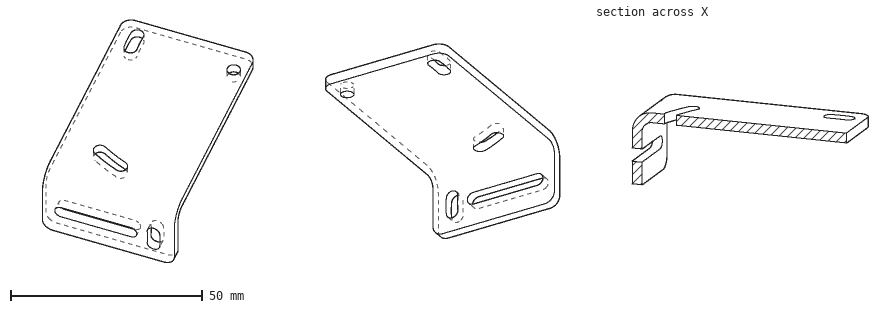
import cadquery as cq
import math

width = 37.0
depth = 60.0
height = 20.0

thickness = 2.8
inner_bend_radius = 2.8
outer_bend_radius = inner_bend_radius + thickness
corner_radius = 3.0

clearance = 3.5
swing_half_angle = 5.0

pivot_x = 14.8
pivot_y = depth - 7.0
near_slot_radius = 28.1
near_slot_angle = 180.0
far_slot_radius = 45.0
far_slot_angle = 245.0

flange_slot_z = 8.0
straight_slot_start_x = -13.25
straight_slot_travel = 19.5
flange_swing_radius = 26.0


def bent_sheet():
    """L-shaped sheet: top plate along +Y, flange hanging down at Y = 0."""
    return (
        cq.Workplane("YZ")
        .moveTo(0, 0)
        .lineTo(0, height - outer_bend_radius)
        .radiusArc((outer_bend_radius, height), outer_bend_radius)
        .lineTo(depth, height)
        .lineTo(depth, height - thickness)
        .lineTo(outer_bend_radius, height - thickness)
        .radiusArc((thickness, height - outer_bend_radius), -inner_bend_radius)
        .lineTo(thickness, 0)
        .close()
        .extrude(width / 2, both=True)
    )


def round_free_corners(sheet):
    """Round the two rear corners of the plate and the two lower corners of the flange."""
    plate_rounded = sheet.edges("|Z and >Y").fillet(corner_radius)
    return plate_rounded.edges("|Y and <Z").fillet(corner_radius)


def polar_point(center, radius, angle):
    """Point at the given radius and angle (degrees) from a centre."""
    turn = math.radians(angle)
    return (center[0] + radius * math.cos(turn), center[1] + radius * math.sin(turn))


def curved_slot(plane, center, radius, mid_angle, length):
    """Cutter for a round-ended slot whose centre line is an arc about a centre."""
    start = mid_angle - swing_half_angle
    end = mid_angle + swing_half_angle
    inner = radius - clearance / 2
    outer = radius + clearance / 2
    return (
        plane.moveTo(*polar_point(center, inner, start))
        .threePointArc(polar_point(center, inner, mid_angle), polar_point(center, inner, end))
        .tangentArcPoint(polar_point(center, outer, end), relative=False)
        .threePointArc(polar_point(center, outer, mid_angle), polar_point(center, outer, start))
        .tangentArcPoint(polar_point(center, inner, start), relative=False)
        .close()
        .extrude(length)
    )


def plate_openings():
    """Cutters through the top plate."""
    pivot = (pivot_x, pivot_y)
    base = cq.Workplane("XY", origin=(0, 0, height - thickness))
    hole = base.moveTo(*pivot).circle(clearance / 2).extrude(thickness)
    near_slot = curved_slot(base, pivot, near_slot_radius, near_slot_angle, thickness)
    far_slot = curved_slot(base, pivot, far_slot_radius, far_slot_angle, thickness)
    return [hole, near_slot, far_slot]


def flange_openings():
    """Cutters through the front flange."""
    base = cq.Workplane("XZ")
    straight_slot = (
        base.moveTo(straight_slot_start_x + straight_slot_travel / 2, flange_slot_z)
        .slot2D(straight_slot_travel + clearance, clearance)
        .extrude(-thickness)
    )
    swing_center = (straight_slot_start_x, flange_slot_z)
    swing_slot = curved_slot(base, swing_center, flange_swing_radius, 0.0, -thickness)
    return [straight_slot, swing_slot]


result = round_free_corners(bent_sheet())
for opening in plate_openings() + flange_openings():
    result = result.cut(opening)